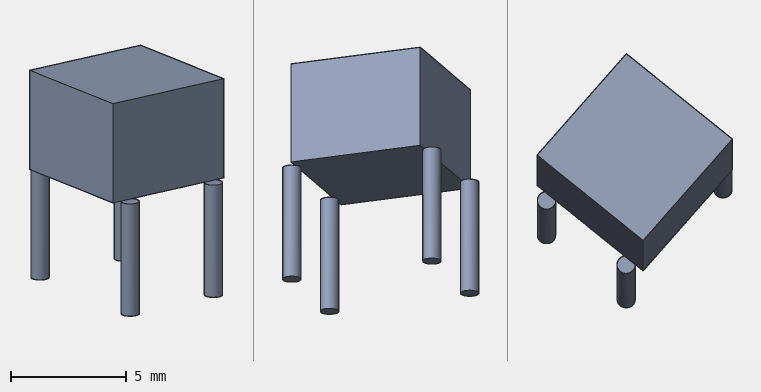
import cadquery as cq

total_height = 9.6

housing_side = 6.0
housing_height = 4.5

pin_diameter = 0.8
pin_length = total_height - housing_height
pin_span_x = 7.3
pin_pitch_x = pin_span_x - pin_diameter
pin_pitch_y = 4.5


def make_housing():
    """Plain block whose underside rests on the pin tops."""
    return (
        cq.Workplane("XY")
        .workplane(offset=pin_length)
        .rect(housing_side, housing_side)
        .extrude(housing_height)
    )


def make_pin(x, y):
    """Straight pin from the bottom plane up to the housing underside."""
    return (
        cq.Workplane("XY")
        .center(x, y)
        .circle(pin_diameter / 2)
        .extrude(pin_length)
    )


housing = make_housing()

pins = []
for x_side in (-1, 1):
    for y_side in (-1, 1):
        pins.append(make_pin(x_side * pin_pitch_x / 2, y_side * pin_pitch_y / 2))

result = cq.Compound.makeCompound([housing.val(), *[pin.val() for pin in pins]])